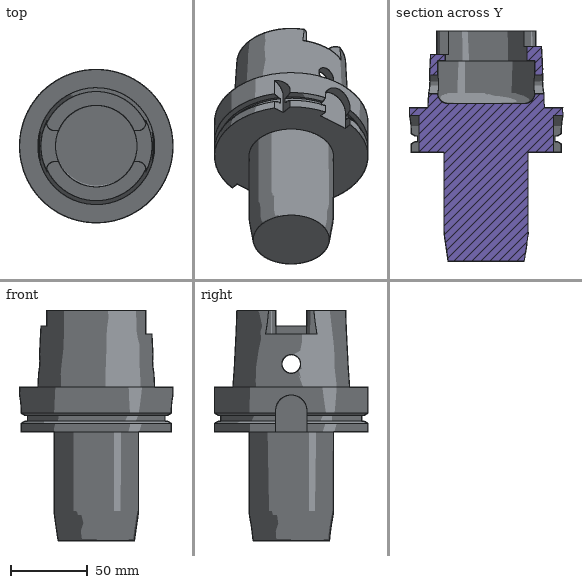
import cadquery as cq
import math

total_height = 149.9
flange_top = 100.0
flange_bottom = 70.9

shank_radius = 55.0 / 2
nose_tip_radius = 25.0
nose_face_radius = 24.7
nose_chamfer_height = 0.9
nose_cone_top = 16.5
nose_cone_top_radius = 27.3
nose_blend_top = 19.3

flange_radius = 100.0 / 2
groove_radius = 46.0
groove_mouth_bottom = flange_bottom + 5.5
groove_mouth_top = flange_bottom + 12.1
groove_shoulder_height = 1.5
groove_shoulder_width = groove_shoulder_height * math.tan(math.radians(60))
groove_lip_radius = flange_radius - groove_shoulder_width

taper_base_radius = 38.0
taper_top_radius = 35.5
mouth_radius = 53.0 / 2
mouth_depth = 19.5
chamber_radius = 63.1 / 2
chamber_depth = 47.0
chamber_corner_radius = 6.6

cross_hole_diameter = 12.0
cross_hole_depth = 34.8

drive_slot_half_width = 10.0
drive_slot_corner_radius = 5.4
drive_slot_flare_x = 32.4
left_drive_depth = 10.0
right_drive_depth = 15.1

rim_slot_width = 20.4
rim_slot_top = flange_top - 5.1
rim_slot_floor_x = 43.9
notch_floor_x = 31.5
notch_wall_y = 31.5


def make_body():
    """Revolve the outside of the nose, shank, flange and taper."""
    profile = (
        cq.Workplane("XZ")
        .lineTo(nose_face_radius, 0)
        .lineTo(nose_tip_radius, nose_chamfer_height)
        .lineTo(nose_cone_top_radius, nose_cone_top)
        .tangentArcPoint((shank_radius, nose_blend_top), relative=False)
        .lineTo(shank_radius, flange_bottom)
        .lineTo(flange_radius, flange_bottom)
        .lineTo(flange_radius, groove_mouth_bottom)
        .lineTo(groove_lip_radius, groove_mouth_bottom + groove_shoulder_height)
        .lineTo(groove_radius, groove_mouth_bottom + groove_shoulder_height)
        .lineTo(groove_radius, groove_mouth_top - groove_shoulder_height)
        .lineTo(groove_lip_radius, groove_mouth_top - groove_shoulder_height)
        .lineTo(flange_radius, groove_mouth_top)
        .lineTo(flange_radius, flange_top)
        .lineTo(taper_base_radius, flange_top)
        .lineTo(taper_top_radius, total_height)
        .lineTo(0, total_height)
        .close()
    )
    return profile.revolve(360, (0, 0, 0), (0, 1, 0))


def make_cavity():
    """Revolve the mouth and the wider clamping chamber with its rounded floor corner."""
    profile = (
        cq.Workplane("XZ", origin=(0, 0, total_height))
        .lineTo(mouth_radius, 0)
        .lineTo(mouth_radius, -mouth_depth)
        .lineTo(chamber_radius, -mouth_depth)
        .lineTo(chamber_radius, -chamber_depth + chamber_corner_radius)
        .tangentArcPoint((chamber_radius - chamber_corner_radius, -chamber_depth), relative=False)
        .lineTo(0, -chamber_depth)
        .close()
    )
    return profile.revolve(360, (0, 0, 0), (0, 1, 0))


def make_drive_slot(side, depth):
    """Cut one end slot on the given X side, flared outward by rounded corners."""
    radius = drive_slot_corner_radius
    outer_x = flange_radius
    center_x = drive_slot_flare_x - radius
    center_y = drive_slot_half_width + radius
    arc_end_x = center_x + radius * math.cos(math.radians(45))
    arc_end_y = center_y + radius * math.sin(math.radians(45))
    return (
        cq.Workplane("XY", origin=(0, 0, total_height - depth))
        .moveTo(0, -drive_slot_half_width)
        .lineTo(side * center_x, -drive_slot_half_width)
        .threePointArc((side * drive_slot_flare_x, -center_y), (side * arc_end_x, -arc_end_y))
        .lineTo(side * outer_x, -arc_end_y)
        .lineTo(side * outer_x, arc_end_y)
        .lineTo(side * arc_end_x, arc_end_y)
        .threePointArc((side * drive_slot_flare_x, center_y), (side * center_x, drive_slot_half_width))
        .lineTo(0, drive_slot_half_width)
        .close()
        .extrude(depth)
    )


def make_rim_slot(side, floor_x, center_y):
    """Cut one round-topped slot from its flat floor out past the rim."""
    half_width = rim_slot_width / 2
    arch_center_z = rim_slot_top - half_width
    return (
        cq.Workplane("YZ", origin=(side * floor_x, center_y, 0))
        .moveTo(-half_width, flange_bottom)
        .lineTo(-half_width, arch_center_z)
        .threePointArc((0, rim_slot_top), (half_width, arch_center_z))
        .lineTo(half_width, flange_bottom)
        .close()
        .extrude(side * (flange_radius - floor_x))
    )


result = make_body().cut(make_cavity())

cross_hole = (
    cq.Workplane("YZ", origin=(0, 0, total_height - cross_hole_depth))
    .circle(cross_hole_diameter / 2)
    .extrude(flange_radius, both=True)
)
result = result.cut(cross_hole)

result = result.cut(make_drive_slot(-1, left_drive_depth))
result = result.cut(make_drive_slot(1, right_drive_depth))

for side in (-1, 1):
    result = result.cut(make_rim_slot(side, rim_slot_floor_x, 0))

result = result.cut(make_rim_slot(-1, notch_floor_x, notch_wall_y + rim_slot_width / 2))